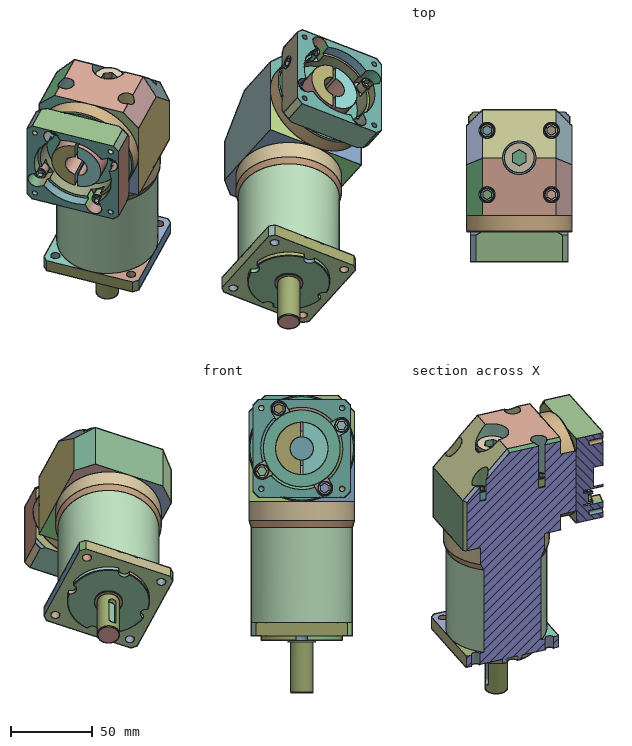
import cadquery as cq
import math


total_height = 182.5

block_width = 65.0
block_edge_chamfer = 10.0
block_slope = 29.7

shaft_radius = 7.0
shaft_tip_chamfer = 0.5
collar_radius = 8.5
collar_bottom = 31.2
keyway_width = 5.0
keyway_length = 22.0
keyway_depth = 3.0
keyway_bottom = 4.5

pilot_bottom = 32.1
pilot_radius = 25.2
pilot_chamfer = 0.4
pilot_notch_radius = 3.6

flange_bottom = 35.0
flange_thickness = 8.2
flange_width = 62.0
flange_corner_chamfer = 3.0
flange_hole_radius = 2.7

column_radius = flange_width / 2
cone_bottom = 101.5
cone_top = 105.8

bolt_circle_radius = 35.0
bolt_head_radius = 4.2
bolt_pocket_radius = 5.0
bolt_head_height = 6.0
bolt_head_chamfer = 0.4
hex_sides = 6
hex_across_flats = 5.1
hex_depth = 3.0

cover_bolt_offset = 19.7
cover_bolt_top = 157.0

plug_y = 3.0
plug_radius = 9.1
plug_seat_radius = 10.2
plug_top = 174.5
plug_seat_floor = 171.4
plug_hex = 8.5
plug_hex_depth = 4.5

ring_length = 10.2
ring_chamfer = 0.7

adapter_width = 60.0
adapter_length = 18.2
adapter_corner_chamfer = 3.5
adapter_back_radius = 38.1
adapter_cone_length = 1.6
adapter_bore_radius = 23.5
adapter_pilot_radius = 25.2
adapter_pilot_depth = 6.4
adapter_bolt_radius = 28.1
adapter_bolt_angle = 30
adapter_bolt_depth = 7.0
motor_thread_radius = 1.6
motor_thread_depth = 9.1
motor_thread_tip = 1.0

access_plug_radius = 4.2
access_plug_y = -48.7
access_plug_rise = 11.1
access_plug_recess = 0.2

hub_radius = 16.0
hub_bore_radius = 7.1
hub_bore_depth = 21.9
hub_slit_width = 1.8
hub_slit_depth = 5.5
hub_inner_slit_radius = 10.5
hub_inner_slit_depth = 16.5
hub_face_depth = 6.2

half_block = block_width / 2
block_bottom = total_height - block_width
input_z = total_height - half_block
ring_front = -half_block - ring_length
adapter_front = ring_front - adapter_length
hub_front = adapter_front + hub_face_depth
thread_spacing = bolt_circle_radius * math.sqrt(2)


def cylinder_up(radius, bottom, top, x=0, y=0):
    """Cylinder along Z between two heights."""
    return cq.Workplane(cq.Plane((x, y, bottom))).circle(radius).extrude(top - bottom)


def input_plane(y):
    """Sketch plane on the input axis, facing the motor side (-Y)."""
    return cq.Workplane(cq.Plane((0, y, input_z), xDir=(1, 0, 0), normal=(0, -1, 0)))


def hexagon(plane, across_flats, depth):
    """Hexagonal prism sunk below the plane, two of its flats facing the plane's x direction."""
    corner_diameter = across_flats / math.cos(math.pi / hex_sides)
    turned = plane.transformed(rotate=(0, 0, 180 / hex_sides))
    return turned.polygon(hex_sides, corner_diameter).extrude(-depth)


def bolt_head(plane):
    """Socket head whose top lies in the plane."""
    head = plane.circle(bolt_head_radius).extrude(-bolt_head_height)
    top = cq.NearestToPointSelector(plane.plane.origin.toTuple())
    head = head.faces(top).edges().chamfer(bolt_head_chamfer)
    return head.cut(hexagon(plane, hex_across_flats, hex_depth))


def angle_block():
    rear_low = total_height - block_slope
    slope_start = half_block - block_slope
    block = (
        cq.Workplane("YZ", origin=(-half_block, 0, 0))
        .moveTo(-half_block, block_bottom)
        .lineTo(half_block, block_bottom)
        .lineTo(half_block, rear_low)
        .lineTo(slope_start, total_height)
        .lineTo(-half_block, total_height)
        .close()
        .extrude(block_width)
    )
    side_outlines = block.faces("<X or >X").edges()
    return side_outlines.edges("not(<Y or <Z)").chamfer(block_edge_chamfer)


def column():
    profile = (
        cq.Workplane("XZ")
        .moveTo(0, flange_bottom)
        .lineTo(column_radius, flange_bottom)
        .lineTo(column_radius, cone_bottom)
        .lineTo(half_block, cone_top)
        .lineTo(half_block, block_bottom)
        .lineTo(0, block_bottom)
        .close()
    )
    return profile.revolve(360, (0, 0, 0), (0, 1, 0))


def output_flange():
    """Square plate, and the cylinders that drill its corners."""
    plate = (
        cq.Workplane(cq.Plane((0, 0, flange_bottom)))
        .rect(flange_width, flange_width)
        .extrude(flange_thickness)
        .edges("|Z")
        .chamfer(flange_corner_chamfer)
    )
    holes = (
        cq.Workplane(cq.Plane((0, 0, flange_bottom)))
        .polarArray(bolt_circle_radius, 45, 360, 4)
        .circle(flange_hole_radius)
        .extrude(flange_thickness)
    )
    return plate, holes


def output_pilot():
    pilot = cylinder_up(pilot_radius, pilot_bottom, flange_bottom)
    pilot = pilot.faces("<Z").edges().chamfer(pilot_chamfer)
    notches = (
        cq.Workplane(cq.Plane((0, 0, pilot_bottom)))
        .polarArray(pilot_radius, 0, 360, 4)
        .circle(pilot_notch_radius)
        .extrude(flange_bottom - pilot_bottom)
    )
    return pilot.cut(notches)


def input_ring():
    ring = input_plane(-half_block).circle(half_block).extrude(ring_length)
    return ring.faces("<Y").edges().chamfer(ring_chamfer)


def clamping_hub():
    """Hub blank, and the bore and slits that open it."""
    hub = input_plane(ring_front).circle(hub_radius).extrude(ring_front - hub_front)
    front = input_plane(hub_front)
    hub_slit = front.rect(hub_slit_width, 2 * hub_radius).extrude(-hub_slit_depth)
    inner_slit = front.rect(hub_slit_width, 2 * hub_inner_slit_radius).extrude(-hub_inner_slit_depth)
    bore = front.circle(hub_bore_radius).extrude(-hub_bore_depth)
    return hub, bore.union(hub_slit).union(inner_slit)


def add_cover_bolts(body):
    pocket_floor = cover_bolt_top - bolt_head_height
    for x in (-cover_bolt_offset, cover_bolt_offset):
        for y in (-cover_bolt_offset, cover_bolt_offset):
            body = body.cut(cylinder_up(bolt_pocket_radius, pocket_floor, total_height, x, y))
            body = body.union(bolt_head(cq.Workplane(cq.Plane((x, y, cover_bolt_top)))))
    return body


def add_cover_plug(body):
    body = body.cut(cylinder_up(plug_seat_radius, plug_seat_floor, total_height, 0, plug_y))
    body = body.union(cylinder_up(plug_radius, plug_seat_floor, plug_top, 0, plug_y))
    return body.cut(hexagon(cq.Workplane(cq.Plane((0, plug_y, plug_top))), plug_hex, plug_hex_depth))


def make_housing():
    plate, plate_holes = output_flange()
    hub, hub_openings = clamping_hub()
    body = angle_block().union(column()).union(plate).cut(plate_holes)
    body = body.union(output_pilot()).union(input_ring()).union(hub).cut(hub_openings)
    return add_cover_plug(add_cover_bolts(body))


def adapter_plate():
    """Square plate whose rear corners are trimmed by a cone."""
    plate = (
        input_plane(ring_front)
        .rect(adapter_width, adapter_width)
        .extrude(adapter_length)
        .edges("|Y")
        .chamfer(adapter_corner_chamfer)
    )
    cone_end_radius = adapter_back_radius + adapter_cone_length
    rear_cone = (
        input_plane(ring_front)
        .circle(adapter_back_radius)
        .workplane(offset=adapter_cone_length)
        .circle(cone_end_radius)
        .loft(ruled=True)
    )
    untrimmed_front = (
        input_plane(ring_front - adapter_cone_length)
        .rect(block_width, block_width)
        .extrude(adapter_length)
    )
    return plate.intersect(rear_cone.union(untrimmed_front))


def add_adapter_bolts(body):
    """Socket heads in round-ended slots that open into the bore."""
    slot_depth = adapter_bolt_depth + bolt_head_height
    for step in range(4):
        turn = (0, 0, adapter_bolt_angle + 90 * step)
        front = input_plane(adapter_front).transformed(rotate=turn)
        round_end = front.center(adapter_bolt_radius, 0).circle(bolt_pocket_radius).extrude(-slot_depth)
        straight = (
            front.center(adapter_bolt_radius / 2, 0)
            .rect(adapter_bolt_radius, 2 * bolt_pocket_radius)
            .extrude(-slot_depth)
        )
        body = body.cut(round_end).cut(straight)
        head_plane = input_plane(adapter_front + adapter_bolt_depth).transformed(rotate=turn)
        body = body.union(bolt_head(head_plane.center(adapter_bolt_radius, 0)))
    return body


def add_access_plug(body):
    """Shallow round seat with a hexagon socket in the -X side."""
    side = cq.Plane(
        (-adapter_width / 2, access_plug_y, input_z + access_plug_rise),
        xDir=(0, 0, 1),
        normal=(-1, 0, 0),
    )
    seat = cq.Workplane(side).circle(access_plug_radius).extrude(-access_plug_recess)
    return body.cut(seat).cut(hexagon(cq.Workplane(side), hex_across_flats, hex_depth))


def motor_threads():
    """Four blind holes with conical drill tips."""
    drill = (
        cq.Workplane("XZ")
        .lineTo(motor_thread_radius, 0)
        .lineTo(motor_thread_radius, -motor_thread_depth)
        .lineTo(0, -motor_thread_depth - motor_thread_tip)
        .close()
        .revolve(360, (0, 0, 0), (0, 1, 0))
        .val()
    )
    front = input_plane(adapter_front)
    corners = front.rect(thread_spacing, thread_spacing, forConstruction=True).vertices()
    return corners.eachpoint(lambda corner: drill.moved(corner), True).combine()


def make_adapter():
    front = input_plane(adapter_front)
    bore = front.circle(adapter_bore_radius).extrude(-adapter_length)
    pilot = front.circle(adapter_pilot_radius).extrude(-adapter_pilot_depth)
    body = adapter_plate().cut(bore).cut(pilot).cut(motor_threads())
    return add_access_plug(add_adapter_bolts(body))


def make_output_shaft():
    shaft = cylinder_up(shaft_radius, 0, collar_bottom)
    shaft = shaft.faces("<Z").edges().chamfer(shaft_tip_chamfer)
    collar = cylinder_up(collar_radius, collar_bottom, pilot_bottom)
    keyway_middle = keyway_bottom + keyway_length / 2
    keyway = (
        cq.Workplane("XZ", origin=(0, shaft_radius, keyway_middle))
        .slot2D(keyway_length, keyway_width, 90)
        .extrude(keyway_depth)
    )
    return shaft.union(collar).cut(keyway)


housing = make_housing()
motor_adapter = make_adapter()
output_shaft = make_output_shaft()

result = cq.Compound.makeCompound([housing.val(), motor_adapter.val(), output_shaft.val()])